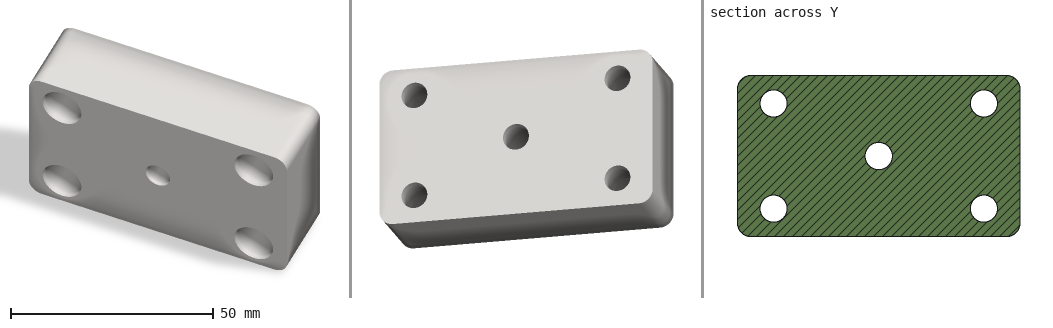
import cadquery as cq

length = 70.0
thickness = 20.0
height = 40.0
corner_radius = 3.5

screw_spacing_x = 52.0
screw_spacing_z = 26.0
screw_hole_diameter = 6.6
counterbore_diameter = 10.5
counterbore_depth = thickness / 2

center_hole_diameter = 6.647


def make_block():
    """Block centred on the origin, rounded along its Y edges."""
    block = cq.Workplane("XY").box(length, thickness, height)
    return block.edges("|Y").fillet(corner_radius)


def front_plane(body):
    """Workplane centred on the front (-Y) face."""
    return body.faces("<Y").workplane(centerOption="CenterOfBoundBox")


def cut_screw_holes(body):
    """Four through holes counterbored from the front face."""
    centers = front_plane(body).rarray(screw_spacing_x, screw_spacing_z, 2, 2)
    return centers.cboreHole(screw_hole_diameter, counterbore_diameter, counterbore_depth)


def cut_center_hole(body):
    """Through hole in the middle of the block."""
    return front_plane(body).hole(center_hole_diameter)


result = cut_center_hole(cut_screw_holes(make_block()))